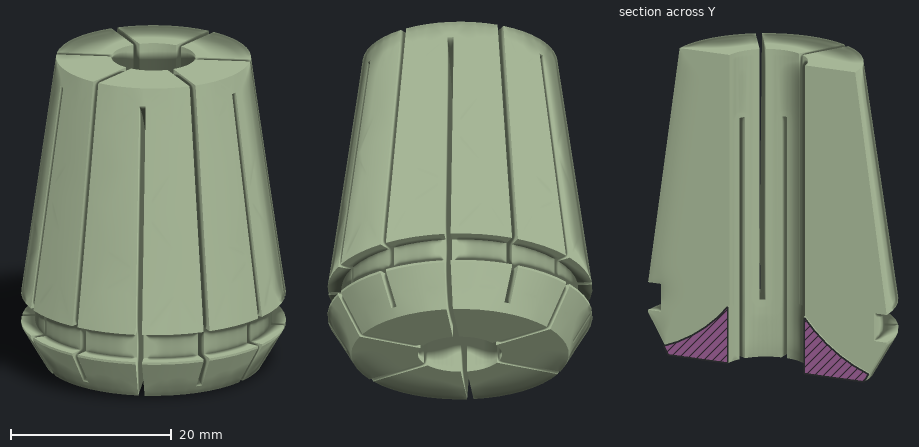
import cadquery as cq
import math

total_height = 40.0
max_radius = 16.5
bore_radius = 5.25

taper_base_z = 9.0
taper_half_angle = 8.0

nose_cone_height = 5.1
nose_half_angle = 30.0
rim_top_z = 5.4

groove_radius = 14.75

slot_width = 0.8
saw_radius = total_height / 2
saw_centre_z = total_height / 2
top_saw_offset = 20.8
bottom_saw_offset = 21.7
slots_per_end = 6
slot_pitch = 360.0 / slots_per_end

top_radius = max_radius - (total_height - taper_base_z) * math.tan(math.radians(taper_half_angle))
nose_radius = max_radius - nose_cone_height * math.tan(math.radians(nose_half_angle))


def make_body():
    """Revolve the half section, bore included, about the Z axis."""
    return (
        cq.Workplane("XZ")
        .moveTo(bore_radius, 0)
        .lineTo(nose_radius, 0)
        .lineTo(max_radius, nose_cone_height)
        .lineTo(max_radius, rim_top_z)
        .lineTo(groove_radius, rim_top_z)
        .lineTo(groove_radius, taper_base_z)
        .lineTo(max_radius, taper_base_z)
        .lineTo(top_radius, total_height)
        .lineTo(bore_radius, total_height)
        .close()
        .revolve(360, (0, 0, 0), (0, 1, 0))
    )


def make_slot(saw_offset, open_z, closed_z):
    """Slot along +X, open at open_z, whose floor is a quarter circle reaching closed_z outside the body."""
    inner_x = saw_offset - saw_radius
    floor_sign = math.copysign(1, closed_z - saw_centre_z)
    diagonal = saw_radius * math.sqrt(0.5)
    floor_middle = (saw_offset - diagonal, saw_centre_z + floor_sign * diagonal)
    return (
        cq.Workplane("XZ")
        .moveTo(inner_x, open_z)
        .lineTo(inner_x, saw_centre_z)
        .threePointArc(floor_middle, (saw_offset, closed_z))
        .lineTo(saw_offset, open_z)
        .close()
        .extrude(slot_width / 2, both=True)
    )


def cut_slots(body, slot, first_angle):
    """Cut copies of the slot evenly around the Z axis."""
    for index in range(slots_per_end):
        angle = first_angle + index * slot_pitch
        body = body.cut(slot.rotate((0, 0, 0), (0, 0, 1), angle))
    return body


top_slot = make_slot(top_saw_offset, open_z=total_height, closed_z=0)
bottom_slot = make_slot(bottom_saw_offset, open_z=0, closed_z=total_height)

result = make_body()
result = cut_slots(result, top_slot, first_angle=0)
result = cut_slots(result, bottom_slot, first_angle=slot_pitch / 2)